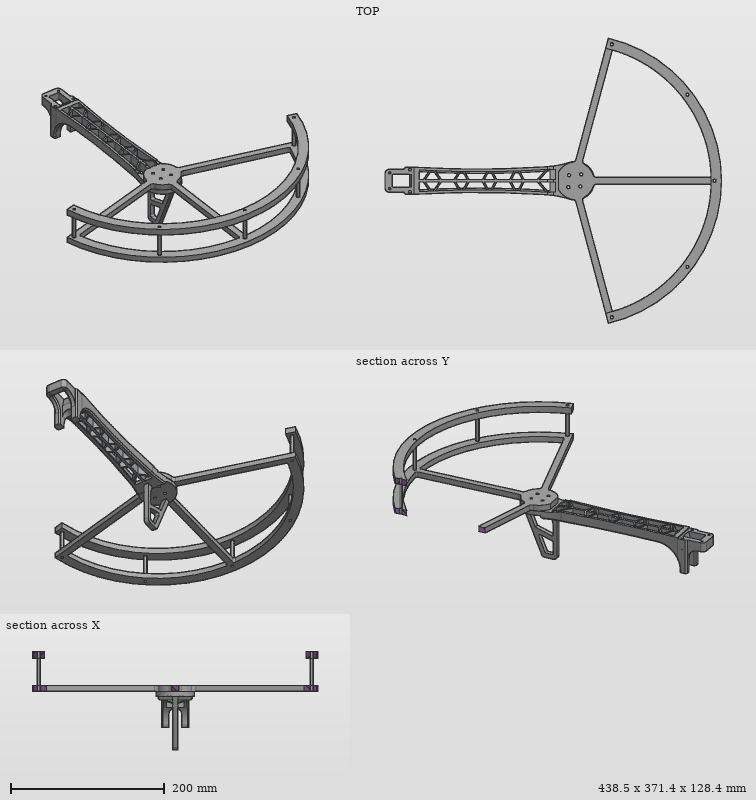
import cadquery as cq
import math

total_height = 128.37
upper_ring_thickness = 9.0
spacer_length = 35.0
guard_thickness = 8.0
upper_ring_bottom = total_height - upper_ring_thickness
guard_top = upper_ring_bottom - spacer_length
guard_bottom = guard_top - guard_thickness
mount_top = guard_bottom
mount_bottom = 69.9
clamp_top = 78.1
beam_top = 79.4
beam_bottom = 65.0
foot_bottom = 29.4

total_length = 438.49
ring_radius = 190.6
ring_width = 13.5
ring_inner_radius = ring_radius - ring_width
spoke_width = 9.2
spoke_angle = 75.0
end_offset = 6.5
hub_radius = 24.4
hub_flat_x = -21.8
hub_fillet = 5.0
spoke_end_fillet = 2.5

spacer_diameter = 5.0
spacer_bore = 3.4
spacer_radius = 184.0
middle_spacer_radius = 181.3

tolerance = 0.1

motor_center_x = -0.7
motor_hole_diameter = 3.8
motor_holes = [(45, 11.8), (225, 11.8), (135, 10.4), (315, 10.4)]

arm_end_x = ring_radius - total_length
clamp_half_width = 15.2
clamp_corner = 6.0
foot_front_x = -223.0
foot_back_x = -212.5
foot_half_width = 17.8
foot_inner_y = 8.2
arch_center_z = 46.5
foot_chamfer = 2.0
front_arc_radius = 15.5
beam_start_x = -209.7
beam_end_x = -40.5
beam_waist_x = (beam_start_x + beam_end_x) / 2
waist_half_width = 15.3
beam_end_half_width = 18.2
beam_back_x = -15.0
beam_back_run = 3.0
back_arc_radius = 32.5
beam_chamfer = 2.0
step_x = -36.0
mount_start_x = -28.5
beam_sag = (foot_half_width + beam_end_half_width) / 2 - waist_half_width
mount_radius = 25.3
mount_shoulder_angle = 101.0
root_bow = (-17.5, 21.3)

window_front_x = -238.2
window_back_x = -213.2
window_back_bottom_x = -216.0
window_half_width = foot_inner_y
window_corner = 1.5
clamp_hole_diameter = 2.6
clamp_hole_x = -241.6
clamp_hole_y = 10.3
foot_hole_diameter = 3.6
foot_hole_depth = 15.0
foot_hole_x = -215.2
foot_hole_y = 14.4

truss_start_x = -202.8
truss_end_x = -33.0
wall_inset = 3.4
flange_inset = 5.9
flange_top = 67.4
rib_width = 3.4
brace_width = 2.3
brace_gap = 2.5
diamonds = [(-186, 11.5), (-148, 9.5), (-111.5, 9), (-76, 9)]
last_brace_x = -49.5
last_brace_end_x = -36.0
root_pocket_end_x = -25.5
root_pocket_half_width = 14.5
root_pocket_floor = 70.0

leg_thickness = 6.6
leg_front_x = -27.2
leg_post_width = 5.4
leg_toe_x = -6.1
leg_slope = 0.421
slant_bar_run = 7.0
leg_floor = 6.6
leg_corner = 5.0
window_fillet = 2.0
leg_inner_x = leg_front_x + leg_post_width
cross_bar_low_front_z = 25.8
cross_bar_low_back_z = 33.0
cross_bar_high_front_z = 33.0
cross_bar_high_back_z = 41.3
bow_top_x = -12.5
bow_middle = (-18.8, 60.0)
bow_bottom_z = 46.0


def polar(radius, angle):
    return (radius * math.cos(math.radians(angle)), radius * math.sin(math.radians(angle)))


spacer_points = [polar(middle_spacer_radius, 0)]
for spacer_angle in (spoke_angle / 2, spoke_angle):
    for side in (1, -1):
        spacer_points.append(polar(spacer_radius, side * spacer_angle))

motor_points = []
for hole_angle, hole_radius in motor_holes:
    hole_x, hole_y = polar(hole_radius, hole_angle)
    motor_points.append((motor_center_x + hole_x, hole_y))


def ring_point(radius, side):
    """Point where the ring's end edge, parallel to the side spoke, meets a radius."""
    angle = spoke_angle + math.degrees(math.asin(end_offset / radius))
    return polar(radius, side * angle)


def make_ring(bottom, thickness):
    return (
        cq.Workplane("XY", origin=(0, 0, bottom))
        .moveTo(*ring_point(ring_inner_radius, -1))
        .lineTo(*ring_point(ring_radius, -1))
        .threePointArc((ring_radius, 0), ring_point(ring_radius, 1))
        .lineTo(*ring_point(ring_inner_radius, 1))
        .threePointArc((ring_inner_radius, 0), ring_point(ring_inner_radius, -1))
        .close()
        .extrude(thickness)
    )


def cut_spacer_holes(ring):
    holes = (
        cq.Workplane("XY", origin=(0, 0, guard_bottom))
        .pushPoints(spacer_points)
        .circle(spacer_bore / 2)
        .extrude(total_height - guard_bottom)
    )
    return ring.cut(holes)


def make_spoke(angle, offset):
    """Straight spoke from the motor axis to the ring, shifted sideways by offset."""
    length = (ring_inner_radius + ring_radius) / 2
    spoke = cq.Workplane("XY").box(length, spoke_width, guard_thickness, centered=(False, True, False))
    return spoke.translate((0, offset, guard_bottom)).rotate((0, 0, 0), (0, 0, 1), angle)


def edge_radius(edge):
    center = edge.Center()
    return math.hypot(center.x, center.y)


def is_hub_corner(edge):
    return edge.Center().x > hub_flat_x / 2 and edge_radius(edge) < (hub_radius + ring_inner_radius) / 2


def is_ring_corner(edge):
    inside = abs(edge_radius(edge) - ring_inner_radius) < tolerance
    edge_angle = math.degrees(math.atan2(abs(edge.Center().y), edge.Center().x))
    return inside and edge_angle < spoke_angle


def make_guard():
    hub = cq.Workplane("XY", origin=(0, 0, guard_bottom)).circle(hub_radius).extrude(guard_thickness)
    beyond_flat = cq.Workplane("XY").box(
        hub_radius, 2 * hub_radius, total_height, centered=(False, True, False)
    )
    hub = hub.cut(beyond_flat.translate((hub_flat_x - hub_radius, 0, 0)))
    side_offset = end_offset - spoke_width / 2
    guard = make_ring(guard_bottom, guard_thickness).union(hub)
    guard = guard.union(make_spoke(0, 0))
    guard = guard.union(make_spoke(spoke_angle, side_offset))
    guard = guard.union(make_spoke(-spoke_angle, -side_offset))
    guard = guard.edges("|Z").filter(is_hub_corner).fillet(hub_fillet)
    guard = guard.edges("|Z").filter(is_ring_corner).fillet(spoke_end_fillet)
    motor_bores = (
        cq.Workplane("XY", origin=(0, 0, guard_bottom))
        .pushPoints(motor_points)
        .circle(motor_hole_diameter / 2)
        .extrude(guard_thickness)
    )
    return cut_spacer_holes(guard.cut(motor_bores))


def make_upper_ring():
    return cut_spacer_holes(make_ring(upper_ring_bottom, upper_ring_thickness))


def make_spacer(point):
    return (
        cq.Workplane("XY", origin=(0, 0, guard_top))
        .center(*point)
        .circle(spacer_diameter / 2)
        .circle(spacer_bore / 2)
        .extrude(spacer_length)
    )


def beam_half_width(x):
    """Half width of the waisted beam at x."""
    half_length = (beam_end_x - beam_start_x) / 2
    return waist_half_width + beam_sag * ((x - beam_waist_x) / half_length) ** 2


def make_plan():
    shoulder_x, shoulder_y = polar(mount_radius, mount_shoulder_angle)
    return (
        cq.Workplane("XY")
        .moveTo(arm_end_x, clamp_half_width)
        .lineTo(foot_front_x, clamp_half_width)
        .lineTo(foot_front_x, foot_half_width)
        .lineTo(beam_start_x, foot_half_width)
        .threePointArc((beam_waist_x, waist_half_width), (beam_end_x, beam_end_half_width))
        .threePointArc(root_bow, (shoulder_x, shoulder_y))
        .threePointArc((mount_radius, 0), (shoulder_x, -shoulder_y))
        .threePointArc((root_bow[0], -root_bow[1]), (beam_end_x, -beam_end_half_width))
        .threePointArc((beam_waist_x, -waist_half_width), (beam_start_x, -foot_half_width))
        .lineTo(foot_front_x, -foot_half_width)
        .lineTo(foot_front_x, -clamp_half_width)
        .lineTo(arm_end_x, -clamp_half_width)
        .close()
        .extrude(total_height)
    )


def make_side_profile():
    front_arc_x = foot_front_x - front_arc_radius
    back_arc_x = foot_back_x + back_arc_radius
    back_center_z = beam_bottom - back_arc_radius
    front_center_z = beam_bottom - front_arc_radius
    back_middle = back_arc_radius * math.sqrt(0.5)
    front_middle = front_arc_radius * math.sqrt(0.5)
    return (
        cq.Workplane("XZ")
        .moveTo(arm_end_x, clamp_top)
        .lineTo(beam_start_x, clamp_top)
        .lineTo(beam_start_x, beam_top)
        .lineTo(step_x, beam_top)
        .lineTo(step_x, clamp_top)
        .lineTo(mount_start_x, clamp_top)
        .lineTo(mount_start_x, mount_top)
        .lineTo(mount_radius, mount_top)
        .lineTo(mount_radius, mount_bottom)
        .lineTo(beam_back_x + beam_back_run, mount_bottom)
        .lineTo(beam_back_x, beam_bottom)
        .lineTo(back_arc_x, beam_bottom)
        .threePointArc(
            (back_arc_x - back_middle, back_center_z + back_middle),
            (foot_back_x, back_center_z),
        )
        .lineTo(foot_back_x, foot_bottom)
        .lineTo(foot_front_x, foot_bottom)
        .lineTo(foot_front_x, front_center_z)
        .threePointArc(
            (front_arc_x + front_middle, front_center_z + front_middle),
            (front_arc_x, beam_bottom),
        )
        .lineTo(arm_end_x, beam_bottom)
        .close()
        .extrude(mount_radius, both=True)
    )


def is_lower_beam_edge(edge):
    """Outer lower edges of the beam, from the back of the feet to the beam's end."""
    center = edge.Center()
    box = edge.BoundingBox()
    outside = abs(center.y) > foot_inner_y
    lower = center.z < beam_bottom + tolerance
    return outside and lower and center.x > foot_back_x - tolerance and box.xmin < beam_end_x + tolerance


def is_foot_front_edge(edge):
    """Upright edges on the front of the two feet."""
    center = edge.Center()
    on_front = abs(center.x - foot_front_x) < tolerance
    on_side = any(abs(abs(center.y) - y) < tolerance for y in (foot_inner_y, foot_half_width))
    return on_front and on_side


def make_block():
    block = make_side_profile().intersect(make_plan())
    block = block.edges("|Z and <X").fillet(clamp_corner)
    block = block.edges("not |Y").filter(is_lower_beam_edge).chamfer(beam_chamfer)
    return block


def cut_feet(block):
    """Opening between the feet, arched at the top, and the window in the clamp."""
    length = beam_end_x - arm_end_x
    arch = (
        cq.Workplane("YZ", origin=(arm_end_x, 0, 0))
        .moveTo(-foot_inner_y, 0)
        .lineTo(-foot_inner_y, arch_center_z)
        .threePointArc((0, arch_center_z + foot_inner_y), (foot_inner_y, arch_center_z))
        .lineTo(foot_inner_y, 0)
        .close()
        .extrude(length)
    )
    window = (
        cq.Workplane("XZ")
        .moveTo(window_front_x, clamp_top)
        .lineTo(window_back_x, clamp_top)
        .lineTo(window_back_bottom_x, beam_bottom)
        .lineTo(window_back_bottom_x, foot_bottom)
        .lineTo(window_front_x, foot_bottom)
        .close()
        .extrude(window_half_width, both=True)
        .edges("|Z and <X")
        .fillet(window_corner)
    )
    opened = block.cut(arch).cut(window)
    return opened.edges("|Z").filter(is_foot_front_edge).chamfer(foot_chamfer)


def drill_arm(block):
    clamp_holes = (
        cq.Workplane("XY")
        .pushPoints([(clamp_hole_x, clamp_hole_y), (clamp_hole_x, -clamp_hole_y)])
        .circle(clamp_hole_diameter / 2)
        .extrude(total_height)
    )
    foot_holes = (
        cq.Workplane("XY", origin=(0, 0, clamp_top - foot_hole_depth))
        .pushPoints([(foot_hole_x, foot_hole_y), (foot_hole_x, -foot_hole_y)])
        .circle(foot_hole_diameter / 2)
        .extrude(foot_hole_depth)
    )
    return block.cut(clamp_holes).cut(foot_holes)


def make_opening(inset, bottom):
    """Waisted opening that follows the beam's sides at a constant inset."""
    start_y = beam_half_width(truss_start_x) - inset
    end_y = beam_half_width(truss_end_x) - inset
    waist = (beam_waist_x, waist_half_width - inset)
    return (
        cq.Workplane("XY", origin=(0, 0, bottom))
        .moveTo(truss_start_x, -start_y)
        .threePointArc((waist[0], -waist[1]), (truss_end_x, -end_y))
        .lineTo(truss_end_x, end_y)
        .threePointArc(waist, (truss_start_x, start_y))
        .close()
        .extrude(beam_top - bottom)
    )


def make_brace(start, end):
    run = end[0] - start[0]
    rise = end[1] - start[1]
    return (
        cq.Workplane("XY")
        .center((start[0] + end[0]) / 2, (start[1] + end[1]) / 2)
        .transformed(rotate=(0, 0, math.degrees(math.atan2(rise, run))))
        .rect(math.hypot(run, rise), brace_width)
        .extrude(beam_top)
    )


def make_truss():
    rib_length = root_pocket_end_x - truss_start_x
    rib = cq.Workplane("XY").box(rib_length, rib_width, beam_top, centered=(False, True, False))
    truss = rib.translate((truss_start_x, 0, 0))
    for side in (1, -1):
        for center, half_length in diamonds:
            wall_y = side * (beam_half_width(center) - wall_inset)
            for end in (1, -1):
                start = (center + end * half_length, 0)
                truss = truss.union(make_brace(start, (center + end * brace_gap, wall_y)))
        last_y = side * (beam_half_width(last_brace_end_x) - wall_inset)
        truss = truss.union(make_brace((last_brace_x, 0), (last_brace_end_x, last_y)))
    return truss


def cut_truss(block):
    opening = make_opening(flange_inset, foot_bottom)
    channel = make_opening(wall_inset, flange_top)
    root_length = root_pocket_end_x - truss_end_x
    root_pocket = cq.Workplane("XY").box(
        root_length, 2 * root_pocket_half_width, beam_top, centered=(False, True, False)
    )
    root_pocket = root_pocket.translate((truss_end_x, 0, root_pocket_floor))
    voids = opening.union(channel).union(root_pocket).cut(make_truss())
    return block.cut(voids)


def make_leg():
    def slant_x(z):
        return leg_toe_x + leg_slope * z

    def inner_x(z):
        return slant_x(z) - slant_bar_run

    outline = (
        cq.Workplane("XZ")
        .moveTo(leg_front_x, 0)
        .lineTo(leg_toe_x, 0)
        .lineTo(slant_x(mount_bottom), mount_bottom)
        .lineTo(leg_front_x, mount_bottom)
        .close()
        .extrude(leg_thickness / 2, both=True)
        .edges("|Y and <Z")
        .fillet(leg_corner)
    )
    lower_window = (
        cq.Workplane("XZ")
        .moveTo(leg_inner_x, leg_floor)
        .lineTo(inner_x(leg_floor), leg_floor)
        .lineTo(inner_x(cross_bar_low_back_z), cross_bar_low_back_z)
        .lineTo(leg_inner_x, cross_bar_low_front_z)
        .close()
        .extrude(leg_thickness, both=True)
        .edges("|Y")
        .fillet(window_fillet)
    )
    upper_window = (
        cq.Workplane("XZ")
        .moveTo(leg_inner_x, cross_bar_high_front_z)
        .lineTo(inner_x(cross_bar_high_back_z), cross_bar_high_back_z)
        .lineTo(inner_x(mount_bottom), mount_bottom)
        .lineTo(bow_top_x, mount_bottom)
        .threePointArc(bow_middle, (leg_inner_x, bow_bottom_z))
        .close()
        .extrude(leg_thickness, both=True)
        .edges("|Y and <Z")
        .fillet(window_fillet)
    )
    return outline.cut(lower_window).cut(upper_window)


def make_arm():
    arm = drill_arm(cut_truss(cut_feet(make_block())))
    motor_bores = (
        cq.Workplane("XY")
        .pushPoints(motor_points)
        .circle(motor_hole_diameter / 2)
        .extrude(mount_top)
    )
    return arm.union(make_leg()).cut(motor_bores)


arm = make_arm()
guard = make_guard()
upper_ring = make_upper_ring()
spacers = [make_spacer(point) for point in spacer_points]

result = cq.Compound.makeCompound(
    [arm.solids().val(), guard.solids().val(), upper_ring.val()] + [spacer.val() for spacer in spacers]
)